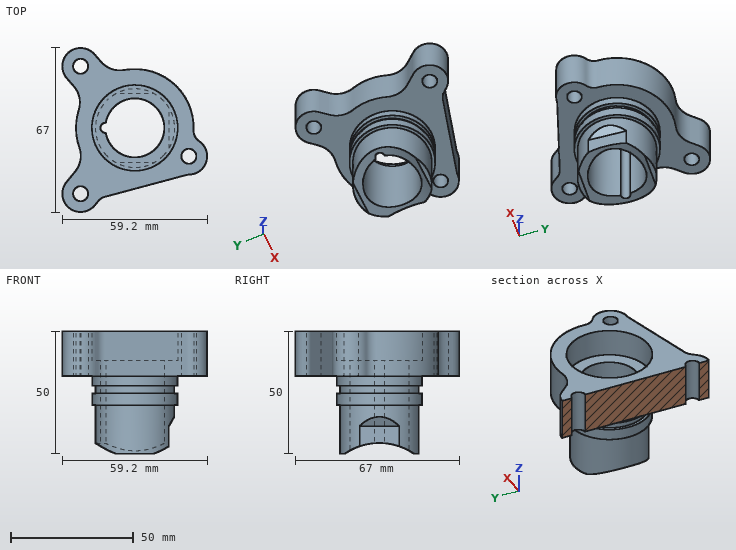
import cadquery as cq
import math

flange_height = 18.35
body_radius = 24.05
lug_radius = 7.5
bolt_hole_diameter = 6.0
upper_left_lug = (-22.1, 25.1)
lower_left_lug = (-22.1, -26.9)
right_lug = (22.05, -11.6)
web_angle = 15.0
large_fillet = 10.05
small_fillet = 5.0

collar_diameter = 35.0
shank_diameter = 32.2
upper_collar_height = 3.9
groove_height = 3.1
lower_collar_height = 4.8
shank_height = 19.8
groove_top = -upper_collar_height
groove_bottom = groove_top - groove_height
collar_bottom = groove_bottom - lower_collar_height
spigot_bottom = collar_bottom - shank_height

flat_x = 13.95
slope_start_drop = 4.75
slope_end_drop = 8.6

saddle_radius = 25.0
saddle_depth = 4.35

recess_diameter = 35.05
recess_depth = 11.8
bore_radius = 12.0
notch_radius = 2.0


def cylinder(radius, bottom, top, center=(0, 0)):
    return cq.Workplane("XY", origin=(*center, bottom)).circle(radius).extrude(top - bottom)


def radial_lug(center):
    """Rounded arm that points straight out from the bore axis."""
    length = math.hypot(*center)
    angle = math.degrees(math.atan2(center[1], center[0]))
    arm = cq.Workplane("XY").rect(length, 2 * lug_radius).extrude(flange_height)
    arm = arm.translate((length / 2, 0, 0)).rotate((0, 0, 0), (0, 0, 1), angle)
    return arm.union(cylinder(lug_radius, 0, flange_height, center))


def straight_side_point(lug):
    """Point of the straight side that lies abreast of a lug centre."""
    cosine = math.cos(math.radians(web_angle))
    sine = math.sin(math.radians(web_angle))
    along = lug[0] * cosine + lug[1] * sine
    return (along * cosine + body_radius * sine, along * sine - body_radius * cosine)


def near(x, y):
    """Selector for the vertical edge nearest to a plan position."""
    return cq.selectors.NearestToPointSelector((x, y, flange_height / 2))


def make_flange():
    web_outline = [
        (0, 0),
        lower_left_lug,
        straight_side_point(lower_left_lug),
        straight_side_point(right_lug),
        right_lug,
    ]
    flange = cylinder(body_radius, 0, flange_height)
    flange = flange.union(radial_lug(upper_left_lug)).union(radial_lug(lower_left_lug))
    flange = flange.union(cylinder(lug_radius, 0, flange_height, right_lug))
    flange = flange.union(cq.Workplane("XY").polyline(web_outline).close().extrude(flange_height))

    arm_reach = math.sqrt(body_radius**2 - lug_radius**2)
    for lug, sides in ((upper_left_lug, (-1, 1)), (lower_left_lug, (-1,))):
        length = math.hypot(*lug)
        ux, uy = lug[0] / length, lug[1] / length
        for side in sides:
            corner_x = arm_reach * ux - side * lug_radius * uy
            corner_y = arm_reach * uy + side * lug_radius * ux
            flange = flange.edges("|Z").edges(near(corner_x, corner_y)).fillet(large_fillet)

    arm_angle = math.atan2(lower_left_lug[1], lower_left_lug[0])
    side_normal = math.radians(web_angle - 90)
    arm_normal = arm_angle + math.pi / 2
    opening = math.sin(arm_normal - side_normal)
    corner_x = (body_radius * math.sin(arm_normal) - lug_radius * math.sin(side_normal)) / opening
    corner_y = (lug_radius * math.cos(side_normal) - body_radius * math.cos(arm_normal)) / opening
    flange = flange.edges("|Z").edges(near(corner_x, corner_y)).fillet(small_fillet)

    length = math.hypot(*right_lug)
    ux, uy = right_lug[0] / length, right_lug[1] / length
    along = (length**2 + body_radius**2 - lug_radius**2) / (2 * length)
    across = math.sqrt(body_radius**2 - along**2)
    corner_x = along * ux - across * uy
    corner_y = along * uy + across * ux
    flange = flange.edges("|Z").edges(near(corner_x, corner_y)).fillet(small_fillet)

    foot_x, foot_y = straight_side_point(right_lug)
    offset = math.hypot(foot_x - right_lug[0], foot_y - right_lug[1])
    setback = math.sqrt(lug_radius**2 - offset**2)
    corner_x = foot_x - setback * math.cos(math.radians(web_angle))
    corner_y = foot_y - setback * math.sin(math.radians(web_angle))
    flange = flange.edges("|Z").edges(near(corner_x, corner_y)).fillet(small_fillet)

    for lug in (upper_left_lug, lower_left_lug, right_lug):
        flange = flange.cut(cylinder(bolt_hole_diameter / 2, 0, flange_height, lug))
    return flange


def make_spigot():
    shank_radius = shank_diameter / 2
    spigot = cylinder(shank_radius, spigot_bottom, 0)
    spigot = spigot.union(cylinder(collar_diameter / 2, groove_top, 0))
    spigot = spigot.union(cylinder(collar_diameter / 2, collar_bottom, groove_bottom))

    flat_cut = (
        cq.Workplane("XZ")
        .moveTo(shank_radius, collar_bottom - slope_start_drop)
        .lineTo(flat_x, collar_bottom - slope_end_drop)
        .lineTo(flat_x, spigot_bottom)
        .lineTo(shank_radius, spigot_bottom)
        .close()
        .extrude(shank_radius, both=True)
    )
    saddle_axis_z = spigot_bottom + saddle_depth - saddle_radius
    saddle = (
        cq.Workplane("YZ")
        .center(0, saddle_axis_z)
        .circle(saddle_radius)
        .extrude(shank_radius, both=True)
    )
    return spigot.cut(flat_cut).cut(saddle)


recess_floor = flange_height - recess_depth
result = make_flange().union(make_spigot())
result = result.cut(cylinder(recess_diameter / 2, recess_floor, flange_height))
result = result.cut(cylinder(bore_radius, spigot_bottom, recess_floor))
result = result.cut(cylinder(notch_radius, spigot_bottom, recess_floor, (-bore_radius, 0)))